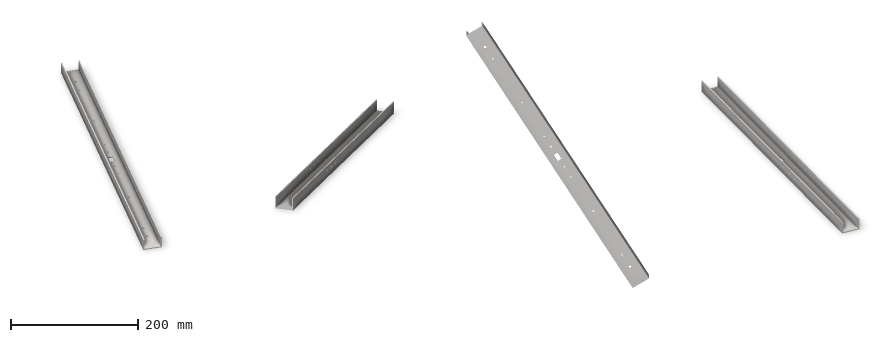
import cadquery as cq

LENGTH = 495.0
WIDTH = 30.0
HEIGHT = 20.0
WALL_THICKNESS = 2.0
FLOOR_THICKNESS = 2.0

WINDOW_LENGTH = 12.5
WINDOW_WIDTH = 7.5

LARGE_HOLE_DIAMETER = 4.5
SMALL_HOLE_DIAMETER = 3.1
PIN_HOLE_DIAMETER = 2.5
LARGE_HOLE_DISTANCE = 215.5
SMALL_HOLE_DISTANCES = (20.0, 106.5, 192.5)
PIN_HOLE_DISTANCE = 39.5

LAST_WALL_HOLE_DISTANCE = 100.0
MIDDLE_HOLE_DIAMETER = 2.5
END_HOLE_DIAMETER = 2.0
LOW_HOLE_HEIGHT = 6.0
MIDDLE_HOLE_HEIGHT = 12.0
HIGH_HOLE_HEIGHT = 18.0
WALL_HOLES = (
    (LOW_HOLE_HEIGHT, END_HOLE_DIAMETER),
    (MIDDLE_HOLE_HEIGHT, MIDDLE_HOLE_DIAMETER),
    (MIDDLE_HOLE_HEIGHT, MIDDLE_HOLE_DIAMETER),
    (MIDDLE_HOLE_HEIGHT, MIDDLE_HOLE_DIAMETER),
    (HIGH_HOLE_HEIGHT, END_HOLE_DIAMETER),
)
WALL_HOLE_PITCH = LAST_WALL_HOLE_DISTANCE / len(WALL_HOLES)


def angle_blank(x_side, y_side):
    """Plain L-section angle in one quadrant; each side is -1 or +1."""
    half_width = WIDTH / 2
    inner_face = half_width - WALL_THICKNESS
    outline = [
        (0, 0),
        (y_side * half_width, 0),
        (y_side * half_width, HEIGHT),
        (y_side * inner_face, HEIGHT),
        (y_side * inner_face, FLOOR_THICKNESS),
        (0, FLOOR_THICKNESS),
    ]
    return cq.Workplane("YZ").polyline(outline).close().extrude(x_side * LENGTH / 2)


def floor_window():
    return cq.Workplane("XY").rect(WINDOW_LENGTH, WINDOW_WIDTH).extrude(FLOOR_THICKNESS)


def floor_holes(x_side, diameter, distances):
    centres = [(x_side * distance, 0) for distance in distances]
    return cq.Workplane("XY").pushPoints(centres).circle(diameter / 2).extrude(FLOOR_THICKNESS)


def wall_holes(y_side):
    """Hole row that climbs along +X in the front wall and descends in the back wall."""
    row = WALL_HOLES if y_side < 0 else WALL_HOLES[::-1]
    depth = -y_side * WIDTH / 2
    cutters = cq.Workplane("XZ")
    for position, (height, diameter) in enumerate(row, start=1):
        centre = (position * WALL_HOLE_PITCH, height)
        cutters = cutters.add(cq.Workplane("XZ").center(*centre).circle(diameter / 2).extrude(depth))
    return cutters.combine()


def angle(x_side, y_side):
    """One finished angle with its share of the window and holes."""
    body = (
        angle_blank(x_side, y_side)
        .cut(floor_window())
        .cut(floor_holes(x_side, LARGE_HOLE_DIAMETER, [LARGE_HOLE_DISTANCE]))
        .cut(floor_holes(x_side, SMALL_HOLE_DIAMETER, SMALL_HOLE_DISTANCES))
        .cut(floor_holes(x_side, PIN_HOLE_DIAMETER, [PIN_HOLE_DISTANCE]))
    )
    if x_side > 0:
        body = body.cut(wall_holes(y_side))
    return body


angles = [angle(x_side, y_side) for x_side in (-1, 1) for y_side in (-1, 1)]

result = cq.Compound.makeCompound([body.val() for body in angles])